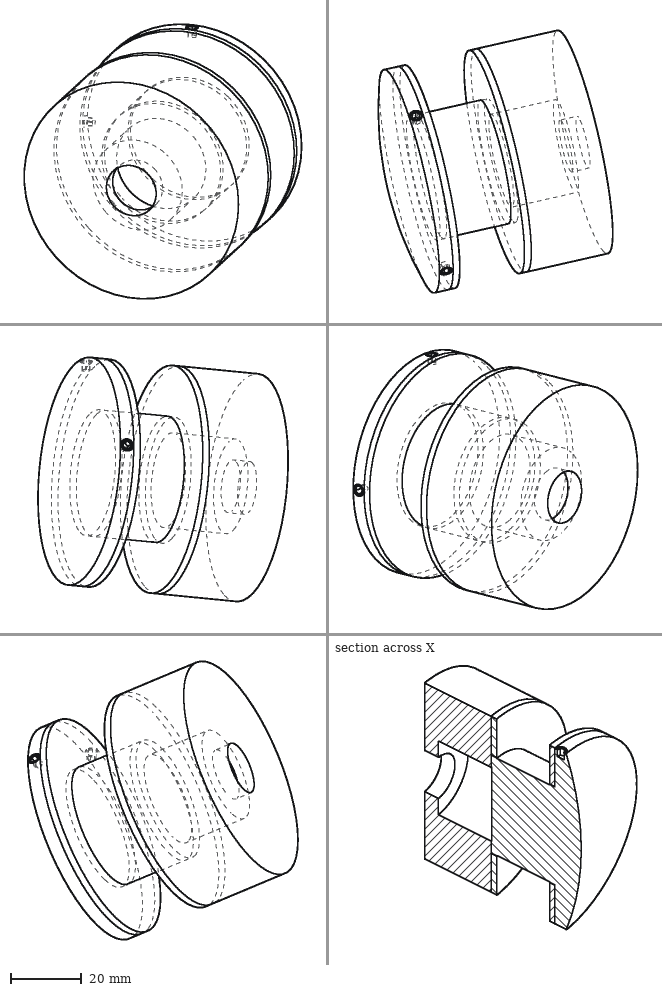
import cadquery as cq
import math


outer_diameter = 65.0
spindle_diameter = 36.0
bolt_hole_diameter = 15.1
cavity_diameter = 27.05

base_length = 24.0
base_wall = 5.0
gasket_thickness = 2.0
panel_gap = 19.0
cap_rim_length = 4.0
dome_height = 5.45

seat_angles = (0, -90)
seat_mouth_diameter = 3.6
seat_floor_diameter = 3.2
seat_depth = 0.2
socket_across_flats = 2.2
socket_depth = 2.5
socket_turn = 45.0

base_gasket_start = base_length
panel_start = base_gasket_start + gasket_thickness
cap_gasket_start = panel_start + panel_gap
cap_start = cap_gasket_start + gasket_thickness
dome_start = cap_start + cap_rim_length
dome_top = dome_start + dome_height

outer_radius = outer_diameter / 2
spindle_radius = spindle_diameter / 2


def cylinder_along_y(diameter, start, length):
    """Solid cylinder on the Y axis, running from y = start toward +Y."""
    return (
        cq.Workplane("XZ", origin=(0, start, 0))
        .circle(diameter / 2)
        .extrude(-length)
    )


def make_base():
    """Round base with a bolt hole that widens into a cavity open to the spindle end."""
    body = cylinder_along_y(outer_diameter, 0, base_length)
    bolt_hole = cylinder_along_y(bolt_hole_diameter, 0, base_wall)
    cavity = cylinder_along_y(cavity_diameter, base_wall, base_length - base_wall)
    return body.cut(bolt_hole).cut(cavity)


def make_gasket(start):
    """Flat ring around the spindle."""
    ring = cylinder_along_y(outer_diameter, start, gasket_thickness)
    return ring.cut(cylinder_along_y(spindle_diameter, start, gasket_thickness))


def make_seat_cutter(angle):
    """Cutter for one seat with a flat floor and a hexagonal socket, turned about Y from +Z."""
    seat_center = cap_start + cap_rim_length / 2
    seat_floor = outer_radius - seat_depth
    socket_floor = seat_floor - socket_depth
    across_corners = socket_across_flats / math.cos(math.pi / 6)
    seat = (
        cq.Workplane("XY", origin=(0, seat_center, seat_floor))
        .circle(seat_floor_diameter / 2)
        .workplane(offset=seat_depth)
        .circle(seat_mouth_diameter / 2)
        .loft()
    )
    socket = (
        cq.Workplane("XY", origin=(0, seat_center, socket_floor))
        .transformed(rotate=(0, 0, socket_turn))
        .polygon(6, across_corners)
        .extrude(socket_depth)
    )
    return seat.union(socket).rotate((0, 0, 0), (0, 1, 0), angle)


def make_cap():
    """Domed cap in one piece with the spindle that passes through both gaskets."""
    dome_radius = (outer_radius**2 + dome_height**2) / (2 * dome_height)
    arc_middle_x = outer_radius / 2
    arc_middle_y = dome_top - dome_radius + math.sqrt(dome_radius**2 - arc_middle_x**2)
    cap = (
        cq.Workplane("XY")
        .moveTo(0, base_length)
        .lineTo(spindle_radius, base_length)
        .lineTo(spindle_radius, cap_start)
        .lineTo(outer_radius, cap_start)
        .lineTo(outer_radius, dome_start)
        .threePointArc((arc_middle_x, arc_middle_y), (0, dome_top))
        .close()
        .revolve(360, (0, 0, 0), (0, 1, 0))
    )
    for angle in seat_angles:
        cap = cap.cut(make_seat_cutter(angle))
    return cap


base = make_base()
gaskets = [make_gasket(start) for start in (base_gasket_start, cap_gasket_start)]
cap = make_cap()

result = cq.Compound.makeCompound([
    base.val(),
    *[gasket.val() for gasket in gaskets],
    cap.val(),
])